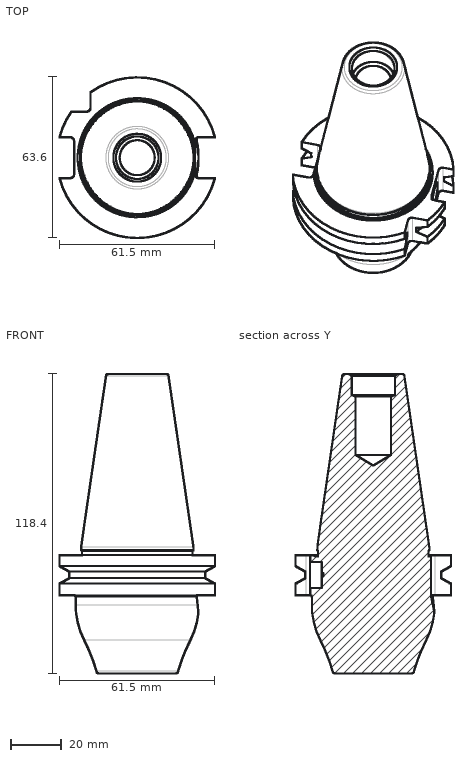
import cadquery as cq
import math

total_height = 118.4
flange_bottom = 30.9
flange_top = 46.8
gauge_height = 50.0
groove_height = 39.0

gauge_radius = 22.3
taper_top_radius = gauge_radius - (total_height - gauge_height) * 7 / 48
shank_edge_fillet = 1.0
gauge_land_height = 1.2
neck_radius = 21.9
relief_inner_radius = 22.7
relief_outer_radius = 23.6
relief_depth = 0.5

flange_radius = 31.79
groove_floor_radius = 28.1
groove_mouth_width = 6.9
groove_side_angle = 30

body_radius = 24.4
bulge_height = 27.1
waist_radius = 21.1
waist_height = 13.3
nose_radius = 16.2
nose_edge_height = 1.1
nose_edge_inset = 1.0
nose_edge_radius = 1.1
root_fillet = 0.5

slot_width = 16.1
left_slot_floor = 25.0
right_slot_floor = 22.9
corner_radius = 1.5
notch_x = -18.5
notch_y = 18.2
chip_hole_radius = 5.0
chip_hole_depth = 4.6
centre_mark_radius = 0.6
centre_mark_depth = 0.6

scoop_radius = 35.5
scoop_tilt = 11
scoop_length = 17.8

bore_mouth_radius = 9.5
bore_mouth_depth = 0.8
counterbore_radius = 8.4
counterbore_depth = 8.3
bore_step_height = 0.6
thread_bore_radius = 6.93
thread_bore_depth = 32.0
drill_half_angle = 59


def make_turned_body():
    """Revolve the outside of the nose, flange, neck and taper."""
    mouth_half = groove_mouth_width / 2
    side_drop = (flange_radius - groove_floor_radius) * math.tan(math.radians(groove_side_angle))
    floor_half = mouth_half - side_drop
    arc_dr = body_radius - waist_radius
    arc_dz = bulge_height - waist_height
    arc_radius = (arc_dr**2 + arc_dz**2) / (2 * arc_dr)
    mid_angle = math.asin(arc_dz / arc_radius) / 2
    bulge_mid = (
        body_radius - arc_radius * (1 - math.cos(mid_angle)),
        bulge_height - arc_radius * math.sin(mid_angle),
    )
    land_bottom = gauge_height - gauge_land_height
    land_chamfer = gauge_radius - neck_radius
    profile = (
        cq.Workplane("XZ")
        .moveTo(0, 0)
        .lineTo(0, total_height)
        .lineTo(taper_top_radius, total_height)
        .lineTo(gauge_radius, gauge_height)
        .lineTo(gauge_radius, land_bottom)
        .lineTo(neck_radius, land_bottom - land_chamfer)
        .lineTo(neck_radius, flange_top - relief_depth)
        .lineTo(relief_inner_radius, flange_top - relief_depth)
        .lineTo(relief_outer_radius, flange_top)
        .lineTo(flange_radius, flange_top)
        .lineTo(flange_radius, groove_height + mouth_half)
        .lineTo(groove_floor_radius, groove_height + floor_half)
        .lineTo(groove_floor_radius, groove_height - floor_half)
        .lineTo(flange_radius, groove_height - mouth_half)
        .lineTo(flange_radius, flange_bottom)
        .lineTo(body_radius + root_fillet, flange_bottom)
        .radiusArc((body_radius, flange_bottom - root_fillet), -root_fillet)
        .lineTo(body_radius, bulge_height)
        .threePointArc(bulge_mid, (waist_radius, waist_height))
        .tangentArcPoint((nose_radius, nose_edge_height), relative=False)
        .radiusArc((nose_radius - nose_edge_inset, 0), nose_edge_radius)
        .close()
    )
    body = profile.revolve(360, (0, 0, 0), (0, 1, 0))
    return body.faces(">Z").edges().fillet(shank_edge_fillet)


def flange_cutter(x_min, x_max, y_min, y_max):
    """Block over the flange height, with rounded vertical edges."""
    return (
        cq.Workplane("XY", origin=(0, 0, flange_bottom))
        .center((x_min + x_max) / 2, (y_min + y_max) / 2)
        .rect(x_max - x_min, y_max - y_min)
        .extrude(flange_top - flange_bottom)
        .edges("|Z")
        .fillet(corner_radius)
    )


def make_flange_cuts():
    """Two drive slots and the corner notch."""
    outside = 2 * flange_radius
    half_slot = slot_width / 2
    left_slot = flange_cutter(-outside, -left_slot_floor, -half_slot, half_slot)
    right_slot = flange_cutter(right_slot_floor, outside, -half_slot, half_slot)
    notch = flange_cutter(-outside, notch_x, notch_y, outside)
    return left_slot.union(right_slot).union(notch)


def make_runout_scoop():
    """Tilted cylinder reaching the slot floor at the flange underside."""
    slope = math.radians(scoop_tilt)
    axis = cq.Vector(math.sin(slope), 0, -math.cos(slope))
    start = cq.Vector(right_slot_floor + scoop_radius / math.cos(slope), 0, flange_bottom)
    cylinder = cq.Solid.makeCylinder(scoop_radius, 2 * scoop_length, start - axis * scoop_length, axis)
    below_flange = cq.Workplane("XY", origin=(flange_radius, 0, flange_bottom)).rect(
        2 * flange_radius, slot_width
    ).extrude(-scoop_length)
    return below_flange.intersect(cq.Workplane(cylinder))


def make_chip_hole():
    """Blind radial hole in the left slot floor with a small centre mark."""
    plane = cq.Workplane("YZ", origin=(-left_slot_floor, 0, groove_height))
    hole = plane.circle(chip_hole_radius).extrude(chip_hole_depth)
    mark = plane.circle(centre_mark_radius).extrude(chip_hole_depth + centre_mark_depth)
    return hole.union(mark)


def make_bore():
    """Stepped blind bore with a drill-point bottom, open at the shank end."""
    step_z = total_height - counterbore_depth
    drill_z = total_height - thread_bore_depth
    tip_z = drill_z - thread_bore_radius / math.tan(math.radians(drill_half_angle))
    outline = [
        (0, total_height),
        (bore_mouth_radius, total_height),
        (counterbore_radius, total_height - bore_mouth_depth),
        (counterbore_radius, step_z),
        (thread_bore_radius, step_z - bore_step_height),
        (thread_bore_radius, drill_z),
        (0, tip_z),
    ]
    return cq.Workplane("XZ").polyline(outline).close().revolve(360, (0, 0, 0), (0, 1, 0))


result = (
    make_turned_body()
    .cut(make_flange_cuts())
    .cut(make_runout_scoop())
    .cut(make_chip_hole())
    .cut(make_bore())
)